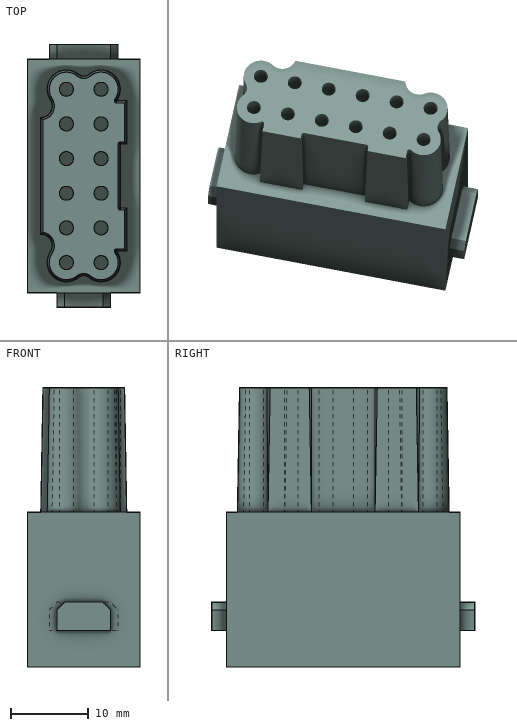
import cadquery as cq
import math

block_width = 14.6
block_length = 30.3
block_height = 20.12
total_height = 36.25
total_length = 34.1

hole_pitch = 4.5
hole_columns = 2
hole_rows = 6
hole_diameter = 1.8

tower_height = total_height - block_height
hole_depth = tower_height
draft_angle = 1.0
lobe_radius = 2.5
end_hollow_radius = 1.0
side_hollow_radius = 1.5
flank_x = 5.6
lobe_x = (hole_columns - 1) * hole_pitch / 2
lobe_y = (hole_rows - 1) * hole_pitch / 2
recessed_flank_x = lobe_x + lobe_radius

rib_inner_y = 4.15
rib_outer_y = 9.75

tab_reach = (total_length - block_length) / 2
tab_bottom_z = 4.75
tab_height = 3.7
tab_chamfer = 1.0
front_tab_width = 7.0
back_tab_width = 8.9


def point_on_circle(center, radius, angle):
    return (center[0] + radius * math.cos(angle), center[1] + radius * math.sin(angle))


def flip(point, x_sign, y_sign):
    return (x_sign * point[0], y_sign * point[1])


lobe_center = (lobe_x, lobe_y)

end_span = lobe_radius + end_hollow_radius
end_angle = math.acos(-lobe_x / end_span)
end_hollow_y = lobe_y + end_span * math.sin(end_angle)
end_hollow_middle = (0, end_hollow_y - end_hollow_radius)
end_tangent = point_on_circle(lobe_center, lobe_radius, end_angle)

side_span = lobe_radius + side_hollow_radius
side_angle = -math.acos((flank_x - lobe_x) / side_span)
side_hollow_center = (flank_x, lobe_y + side_span * math.sin(side_angle))
side_tangent = point_on_circle(lobe_center, lobe_radius, side_angle)
lobe_middle = point_on_circle(lobe_center, lobe_radius, (end_angle + side_angle) / 2)


hollow_end = (flank_x, side_hollow_center[1] - side_hollow_radius)
hollow_start_angle = side_angle + math.pi
hollow_end_angle = 1.5 * math.pi
hollow_mid_angle = (hollow_start_angle + hollow_end_angle) / 2
hollow_middle = point_on_circle(side_hollow_center, side_hollow_radius, hollow_mid_angle)

rib_angle = math.asin((rib_outer_y - lobe_y) / lobe_radius)
rib_root = point_on_circle(lobe_center, lobe_radius, rib_angle)
rib_lobe_middle = point_on_circle(lobe_center, lobe_radius, (end_angle + rib_angle) / 2)


def make_block():
    return cq.Workplane("XY").box(block_width, block_length, block_height, centered=(True, True, False))


def make_tower():
    """Lobed tower with one full flank (-X) and one recessed, ribbed flank (+X)."""
    outline = (
        cq.Workplane("XY")
        .workplane(offset=block_height)
        .moveTo(*end_tangent)
        .threePointArc(rib_lobe_middle, rib_root)
        .lineTo(flank_x, rib_outer_y)
        .lineTo(flank_x, rib_inner_y)
        .lineTo(recessed_flank_x, rib_inner_y)
        .lineTo(recessed_flank_x, -rib_inner_y)
        .lineTo(flank_x, -rib_inner_y)
        .lineTo(flank_x, -rib_outer_y)
        .lineTo(*flip(rib_root, 1, -1))
        .threePointArc(flip(rib_lobe_middle, 1, -1), flip(end_tangent, 1, -1))
        .threePointArc(flip(end_hollow_middle, 1, -1), flip(end_tangent, -1, -1))
        .threePointArc(flip(lobe_middle, -1, -1), flip(side_tangent, -1, -1))
        .threePointArc(flip(hollow_middle, -1, -1), flip(hollow_end, -1, -1))
        .lineTo(*flip(hollow_end, -1, 1))
        .threePointArc(flip(hollow_middle, -1, 1), flip(side_tangent, -1, 1))
        .threePointArc(flip(lobe_middle, -1, 1), flip(end_tangent, -1, 1))
        .threePointArc(end_hollow_middle, end_tangent)
        .close()
    )
    return outline.extrude(tower_height, taper=draft_angle)


def make_tab(width, y_sign):
    """Tab on one end of the block, with its two upper edges chamfered."""
    return (
        cq.Workplane("XY")
        .box(width, tab_reach, tab_height, centered=(True, True, False))
        .edges("|Y and >Z")
        .chamfer(tab_chamfer)
        .translate((0, y_sign * (block_length + tab_reach) / 2, tab_bottom_z))
    )


def make_holes():
    return (
        cq.Workplane("XY")
        .workplane(offset=total_height - hole_depth)
        .rarray(hole_pitch, hole_pitch, hole_columns, hole_rows)
        .circle(hole_diameter / 2)
        .extrude(hole_depth)
    )


result = (
    make_block()
    .union(make_tower())
    .union(make_tab(front_tab_width, -1))
    .union(make_tab(back_tab_width, 1))
    .cut(make_holes())
)